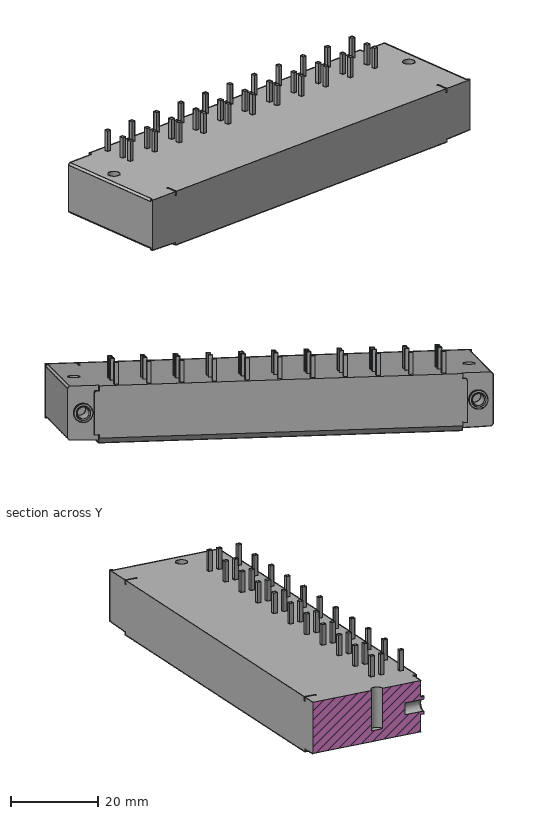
import cadquery as cq

length = 99.1
depth = 29.2
height = 19.3
pin_length = 5.1
lip_bottom = pin_length - height

block_width = 7.2
housing_width = length - 2 * block_width
housing_height = 13.5
mating_bevel_run = 1.0
mating_bevel_rise = 1.3

block_setback = 0.9
block_outer_height = 12.6
block_inner_height = 12.8
block_chamfer = 0.5
rear_rim = 0.6

wing_width = 1.1
wing_top = -1.2
wing_bottom = -11.4
wing_corner = 0.6

fixing_y = length / 2 - 3.6
bush_z = -6.2
bush_diameter = 4.4
bore_mouth_diameter = 3.4
bore_diameter = 2.8
bore_depth = 5.0
mount_x = 12.4
mount_diameter = 2.8
mount_depth = 9.9

lip_start = 26.2
lip_width = 80.6

slot_length = 3.0
slot_width = 0.3
slot_depth = 1.0

pins_per_row = 11
pin_row_length = 76.2
pin_pitch = pin_row_length / (pins_per_row - 1)
grid = pin_pitch / 3
first_row_x = 1.8
pin_row_x = [first_row_x + steps * grid for steps in (0, 2, 3)]
pin_size_x = 1.0
pin_size_y = 0.9
pin_root = 1.0


def make_housing():
    profile = [
        (0, 0),
        (depth, 0),
        (depth, -housing_height),
        (mating_bevel_run, -housing_height),
        (0, -housing_height + mating_bevel_rise),
    ]
    return cq.Workplane("XZ").polyline(profile).close().extrude(housing_width / 2, both=True)


def make_lip():
    profile = [
        (lip_start, -housing_height),
        (depth, -housing_height),
        (lip_start, lip_bottom),
    ]
    return cq.Workplane("XZ").polyline(profile).close().extrude(lip_width / 2, both=True)


def make_block_shell(side):
    """End block with bevelled outer edges that stop at a square rim along the rear."""
    inner = side * housing_width / 2
    outer = side * length / 2
    profile = [
        (inner, 0),
        (outer, 0),
        (outer, -block_outer_height),
        (inner, -block_inner_height),
    ]
    front_part = (
        cq.Workplane("YZ", origin=(block_setback, 0, 0))
        .polyline(profile)
        .close()
        .extrude(depth - rear_rim - block_setback)
        .edges("|X and " + (">Y" if side > 0 else "<Y"))
        .chamfer(block_chamfer)
    )
    rim = cq.Workplane("YZ", origin=(depth - rear_rim, 0, 0)).polyline(profile).close().extrude(rear_rim)
    return front_part.union(rim)


def make_end_block(side):
    """End block at the +Y (side = 1) or -Y (side = -1) end, with its bush and mounting hole."""
    bush = (
        cq.Workplane("YZ", origin=(0, side * fixing_y, bush_z))
        .circle(bush_diameter / 2)
        .extrude(block_setback)
    )
    bore = (
        cq.Workplane("YZ", origin=(0, side * fixing_y, bush_z))
        .circle(bore_diameter / 2)
        .extrude(bore_depth)
    )
    bore_mouth = (
        cq.Workplane("YZ", origin=(0, side * fixing_y, bush_z))
        .circle(bore_mouth_diameter / 2)
        .workplane(offset=(bore_mouth_diameter - bore_diameter) / 2)
        .circle(bore_diameter / 2)
        .loft()
    )
    mount_hole = (
        cq.Workplane("XY", origin=(mount_x, side * fixing_y, 0))
        .circle(mount_diameter / 2)
        .extrude(-mount_depth)
    )
    return make_block_shell(side).union(bush).cut(bore).cut(bore_mouth).cut(mount_hole)


def make_wings():
    """Plate flush with the mating face whose ends stand out past the housing."""
    return (
        cq.Workplane("YZ", origin=(0, 0, (wing_top + wing_bottom) / 2))
        .rect(housing_width + 2 * wing_width, wing_top - wing_bottom)
        .extrude(block_setback)
        .edges("|X and >Z")
        .fillet(wing_corner)
    )


def make_slot(side):
    slot_y = side * (housing_width - slot_width) / 2
    return cq.Workplane("XY", origin=(depth - slot_length / 2, slot_y, -slot_depth / 2)).box(
        slot_length, slot_width, slot_depth
    )


def make_pins():
    middle = (pins_per_row - 1) / 2
    centres = [(x, (i - middle) * pin_pitch) for x in pin_row_x for i in range(pins_per_row)]
    return (
        cq.Workplane("XY", origin=(0, 0, -pin_root))
        .pushPoints(centres)
        .rect(pin_size_x, pin_size_y)
        .extrude(pin_root + pin_length)
    )


result = make_housing().union(make_lip()).union(make_wings())
for end in (-1, 1):
    result = result.union(make_end_block(end)).cut(make_slot(end))
result = result.union(make_pins())